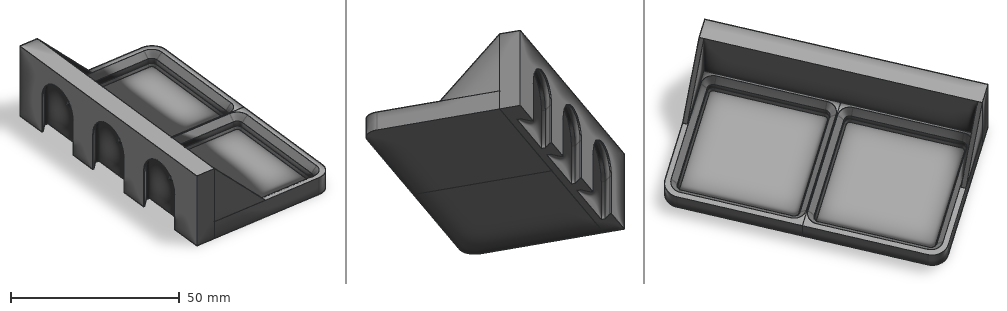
import cadquery as cq

LENGTH = 87.0
DEPTH = 50.5
HEIGHT = 25.0

PLATE_THICKNESS = 6.5
SLOT_COUNT = 3
SLOT_PITCH = HEIGHT
SLOT_CENTRE_Z = HEIGHT / 2
SLOT_DEPTH = 4.2
SLOT_MOUTH_RADIUS = 7.65
SLOT_INNER_RADIUS = 10.2
SLOT_INNER_HEIGHT = 1.2
DIMPLE_RADIUS = 1.05
DIMPLE_HEIGHT = 1.05

SIDES = (-1, 1)

TRAY_WIDTH = LENGTH / 2
TRAY_DEPTH = DEPTH - PLATE_THICKNESS
TRAY_HEIGHT = 6.0
TRAY_CORNER_RADIUS = 5.0

CHAMFER_ANGLE = 45
RIM_WIDTH = 1.7
DIVIDER_HALF = 0.25
POCKET_SIZE = TRAY_WIDTH - RIM_WIDTH - DIVIDER_HALF
POCKET_CORNER_RADIUS = 3.7
MOUTH_CHAMFER = 1.9
WALL_BAND = 1.8
FLOOR_CHAMFER = 0.7
POCKET_DEPTH = MOUTH_CHAMFER + WALL_BAND + FLOOR_CHAMFER

GUSSET_THICKNESS = 1.5
GUSSET_HEIGHT = HEIGHT - TRAY_HEIGHT


def slot_cutter(x):
    """Undercut slot with a round top, open at the plate's bottom edge, around a cone on its floor."""
    flank_top = SLOT_INNER_HEIGHT + SLOT_INNER_RADIUS - SLOT_MOUTH_RADIUS
    floor_y = SLOT_DEPTH
    half_profile = [
        (0, floor_y),
        (SLOT_INNER_RADIUS, floor_y),
        (SLOT_INNER_RADIUS, floor_y - SLOT_INNER_HEIGHT),
        (SLOT_MOUTH_RADIUS, floor_y - flank_top),
        (SLOT_MOUTH_RADIUS, 0),
        (0, 0),
    ]
    round_top = cq.Workplane("XY").polyline(half_profile).close().revolve(360, (0, 0), (0, 1))
    straight_run = (
        cq.Workplane("XY")
        .polyline(half_profile)
        .mirrorY()
        .extrude(-SLOT_CENTRE_Z)
    )
    dimple = (
        cq.Workplane("XY")
        .polyline([(0, floor_y), (DIMPLE_RADIUS, floor_y), (0, floor_y - DIMPLE_HEIGHT)])
        .close()
        .revolve(360, (0, 0), (0, 1))
    )
    return round_top.union(straight_run).cut(dimple).translate((x, 0, SLOT_CENTRE_Z))


def make_plate():
    plate = cq.Workplane("XY").box(LENGTH, PLATE_THICKNESS, HEIGHT, centered=(True, False, False))
    for index in range(SLOT_COUNT):
        slot_x = (index - (SLOT_COUNT - 1) / 2) * SLOT_PITCH
        plate = plate.cut(slot_cutter(slot_x))
    return plate


def pocket_layer(bottom_z, height, bottom_inset, draft_angle):
    """Rounded square layer of the pocket, centred on the origin, inset from the mouth outline."""
    size = POCKET_SIZE - 2 * bottom_inset
    return (
        cq.Workplane("XY")
        .sketch()
        .rect(size, size)
        .vertices()
        .fillet(POCKET_CORNER_RADIUS - bottom_inset)
        .finalize()
        .extrude(height, taper=-draft_angle)
        .translate((0, 0, bottom_z))
    )


def pocket_cutter():
    floor_z = TRAY_HEIGHT - POCKET_DEPTH
    band_z = floor_z + FLOOR_CHAMFER
    mouth_z = band_z + WALL_BAND
    floor_layer = pocket_layer(floor_z, FLOOR_CHAMFER, MOUTH_CHAMFER + FLOOR_CHAMFER, CHAMFER_ANGLE)
    band_layer = pocket_layer(band_z, WALL_BAND, MOUTH_CHAMFER, 0)
    mouth_layer = pocket_layer(mouth_z, MOUTH_CHAMFER, MOUTH_CHAMFER, CHAMFER_ANGLE)
    return floor_layer.union(band_layer).union(mouth_layer)


def make_tray(side):
    """Tray on one side of X = 0: side is -1 for left, +1 for right."""
    outer_corner = "<X and >Y" if side < 0 else ">X and >Y"
    blank = (
        cq.Workplane("XY")
        .box(TRAY_WIDTH, TRAY_DEPTH, TRAY_HEIGHT, centered=(True, False, False))
        .translate((side * TRAY_WIDTH / 2, PLATE_THICKNESS, 0))
        .edges("|Z")
        .edges(outer_corner)
        .fillet(TRAY_CORNER_RADIUS)
    )
    pocket_x = side * (DIVIDER_HALF + POCKET_SIZE / 2)
    pocket_y = DEPTH - RIM_WIDTH - POCKET_SIZE / 2
    return blank.cut(pocket_cutter().translate((pocket_x, pocket_y, 0)))


def make_gusset(side):
    """45 degree gusset at one end: side is -1 for left, +1 for right."""
    centre_x = side * (LENGTH - GUSSET_THICKNESS) / 2
    return (
        cq.Workplane("YZ")
        .polyline([
            (PLATE_THICKNESS, TRAY_HEIGHT),
            (PLATE_THICKNESS + GUSSET_HEIGHT, TRAY_HEIGHT),
            (PLATE_THICKNESS, HEIGHT),
        ])
        .close()
        .extrude(GUSSET_THICKNESS / 2, both=True)
        .translate((centre_x, 0, 0))
    )


plate = make_plate()
trays = [make_tray(side) for side in SIDES]
gussets = [make_gusset(side) for side in SIDES]

bodies = [plate, *trays, *gussets]
result = cq.Compound.makeCompound([body.val() for body in bodies])